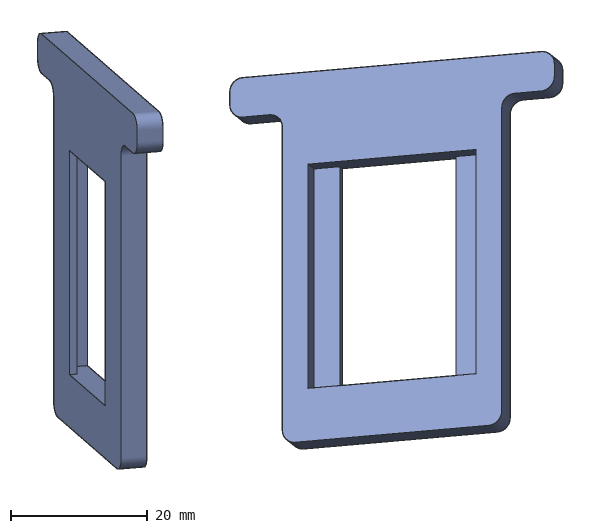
import cadquery as cq

height = 56.0
head_width = 50.0
thickness = 4.0

head_height = 6.0
stem_width = 33.8
corner_radius = 2.0

frame_margin = 8.0
window_width = stem_width - 2 * frame_margin
window_height = 34.0

lip_thickness = 1.2
recess_overhang = frame_margin / 2
recess_width = window_width + 2 * recess_overhang
recess_depth = thickness - lip_thickness

stem_height = height - head_height


def centred_block(width, depth, block_height, bottom):
    """Block centred on X and Y, rising from the given Z level."""
    return (
        cq.Workplane("XY")
        .box(width, depth, block_height, centered=(True, True, False))
        .translate((0, 0, bottom))
    )


stem = centred_block(stem_width, thickness, stem_height, 0)
head = centred_block(head_width, thickness, head_height, stem_height)
plate = stem.union(head).edges("|Y").fillet(corner_radius)

window = centred_block(window_width, thickness, window_height, frame_margin)

recess = centred_block(recess_width, recess_depth, window_height, frame_margin)
recess = recess.translate((0, lip_thickness / 2, 0))

result = plate.cut(window).cut(recess)